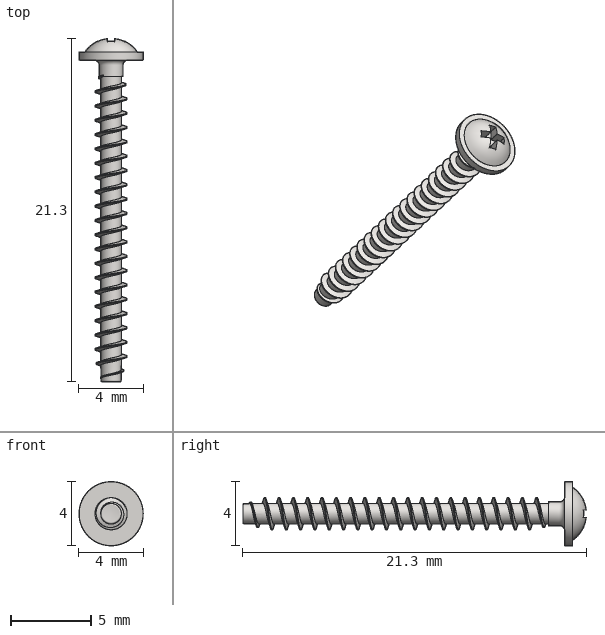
import cadquery as cq
import math


flange_diameter = 4.0
flange_thickness = 0.5
flange_edge_fillet = 0.05
head_height = 1.375
crown_base_radius = 1.65
flange_radius = flange_diameter / 2
crown_height = head_height - flange_thickness

recess_span = 1.65
recess_wing_width = 0.45
recess_depth = 0.8

shank_length = 20.0
neck_radius = 0.75
neck_length = 1.0
under_head_fillet = 0.3
core_radius = 0.65
tip_radius = 0.63
tip_taper_length = 1.2
tip_fillet = 0.08
tip_hollow_depth = 0.04

thread_radius = 1.0
thread_pitch = 0.89
thread_turns = 21.5
fade_turns = 1.25
thread_start_y = -0.62
crest_width = 0.06
flank_angle = 15.0
root_overlap = 0.06
points_per_turn = 16
thread_root_radius = core_radius - root_overlap


def quarter_arc_middle(centre, radius, x_side, y_side):
    """Middle point of a quarter arc on the given side of its centre."""
    offset = radius * math.sqrt(0.5)
    return (centre[0] + x_side * offset, centre[1] + y_side * offset)


def make_body():
    """Head, neck, core and tip as one profile of (radius, Y) points, turned about the axis."""
    crown_sphere_radius = (crown_base_radius**2 + crown_height**2) / (2 * crown_height)
    crown_middle_angle = math.asin(crown_base_radius / crown_sphere_radius) / 2
    crown_middle = (
        crown_sphere_radius * math.sin(crown_middle_angle),
        head_height - crown_sphere_radius * (1 - math.cos(crown_middle_angle)),
    )
    flange_fillet_centre = (flange_radius - flange_edge_fillet, flange_edge_fillet)
    neck_fillet_centre = (neck_radius + under_head_fillet, -under_head_fillet)
    tip_fillet_centre = (tip_radius - tip_fillet, tip_fillet - shank_length)
    hollow_radius = tip_fillet_centre[0]
    hollow_sphere_radius = (hollow_radius**2 + tip_hollow_depth**2) / (2 * tip_hollow_depth)
    hollow_middle_angle = math.asin(hollow_radius / hollow_sphere_radius) / 2
    hollow_bottom_y = tip_hollow_depth - shank_length
    hollow_middle = (
        hollow_sphere_radius * math.sin(hollow_middle_angle),
        hollow_bottom_y - hollow_sphere_radius * (1 - math.cos(hollow_middle_angle)),
    )
    profile = (
        cq.Workplane("XY")
        .moveTo(0, head_height)
        .threePointArc(crown_middle, (crown_base_radius, flange_thickness))
        .lineTo(flange_radius, flange_thickness)
        .lineTo(flange_radius, flange_edge_fillet)
        .threePointArc(
            quarter_arc_middle(flange_fillet_centre, flange_edge_fillet, 1, -1),
            (flange_fillet_centre[0], 0),
        )
        .lineTo(neck_fillet_centre[0], 0)
        .threePointArc(
            quarter_arc_middle(neck_fillet_centre, under_head_fillet, -1, 1),
            (neck_radius, -under_head_fillet),
        )
        .lineTo(neck_radius, -neck_length)
        .lineTo(core_radius, -neck_length)
        .lineTo(core_radius, tip_taper_length - shank_length)
        .lineTo(tip_radius, tip_fillet_centre[1])
        .threePointArc(
            quarter_arc_middle(tip_fillet_centre, tip_fillet, 1, -1),
            (hollow_radius, -shank_length),
        )
        .threePointArc(hollow_middle, (0, hollow_bottom_y))
        .close()
    )
    return profile.revolve(360, (0, 0, 0), (0, 1, 0))


def make_recess():
    """Two crossed bars that cut the driver recess."""
    bar_height = 2 * recess_depth
    wing_x = cq.Workplane("XY").box(recess_span, bar_height, recess_wing_width)
    wing_z = cq.Workplane("XY").box(recess_wing_width, bar_height, recess_span)
    return wing_x.union(wing_z).translate((0, head_height, 0))


def crest_radius(turn):
    """Radius of the thread crest after the given number of turns."""
    distance_to_end = min(turn, thread_turns - turn)
    fade = min(1.0, distance_to_end / fade_turns)
    return core_radius + (thread_radius - core_radius) * fade


def corner_point(corner, turn):
    """One corner of the thread section: (at the crest?, +1 head side or -1 tip side)."""
    at_crest, side = corner
    crest = crest_radius(turn)
    radius = crest if at_crest else thread_root_radius
    half_width = crest_width / 2 + (crest - radius) * math.tan(math.radians(flank_angle))
    angle = 2 * math.pi * turn
    y = thread_start_y - thread_pitch * turn + side * half_width
    return cq.Vector(radius * math.cos(angle), y, radius * math.sin(angle))


def corner_curve(corner, first_turn, last_turn):
    """Helical path of one section corner."""
    steps = math.ceil((last_turn - first_turn) * points_per_turn)
    step = (last_turn - first_turn) / steps
    points = [corner_point(corner, first_turn + i * step) for i in range(steps + 1)]
    return cq.Edge.makeSpline(points)


def make_thread():
    """Thread body: fade-in, full-height and fade-out stretches closed by two end faces."""
    corners = [(False, 1), (True, 1), (True, -1), (False, -1)]
    breaks = [0, fade_turns, thread_turns - fade_turns, thread_turns]
    faces = []
    for first_turn, last_turn in zip(breaks, breaks[1:]):
        curves = [corner_curve(corner, first_turn, last_turn) for corner in corners]
        for curve, next_curve in zip(curves, curves[1:] + curves[:1]):
            faces.append(cq.Face.makeRuledSurface(curve, next_curve))
    for turn in (0, thread_turns):
        section = [corner_point(corner, turn) for corner in corners]
        faces.append(cq.Face.makeFromWires(cq.Wire.makePolygon(section, close=True)))
    thread = cq.Solid.makeSolid(cq.Shell.makeShell(faces))
    return thread.fix()


screw = make_body().cut(make_recess()).union(cq.Workplane("XY").add(make_thread()))
result = cq.Workplane("XY").add(screw.solids().val())